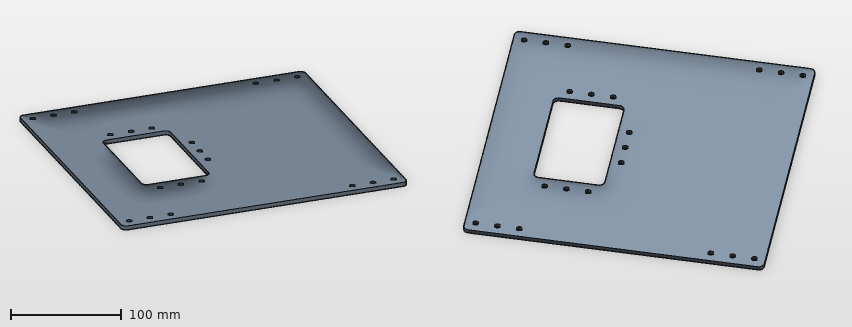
import cadquery as cq

plate_width = 262.0
plate_depth = 275.75
plate_thickness = 4.0
plate_corner_radius = 5.0

window_width = 105.0
window_depth = 65.0
window_front_margin = 50.0
window_corner_radius = 5.0
window_center_y = -plate_depth / 2 + window_front_margin + window_depth / 2

hole_diameter = 5.0
hole_pitch = 20.0
hole_edge_distance = 10.0
row_offsets = (-hole_pitch, 0.0, hole_pitch)


def rounded_slab(width, depth, corner_radius):
    """Slab of plate thickness with rounded vertical corners."""
    slab = cq.Workplane("XY").box(width, depth, plate_thickness, centered=(True, True, False))
    return slab.edges("|Z").fillet(corner_radius)


def row_along_x(center_x, center_y):
    """Hole centres of a row running in X."""
    return [(center_x + offset, center_y) for offset in row_offsets]


def row_along_y(center_x, center_y):
    """Hole centres of a row running in Y."""
    return [(center_x, center_y + offset) for offset in row_offsets]


def plate_corner_holes():
    """One row along each side edge at every plate corner."""
    row_x = plate_width / 2 - hole_edge_distance
    row_y = plate_depth / 2 - hole_edge_distance - hole_pitch
    centers = []
    for side_x in (-1, 1):
        for side_y in (-1, 1):
            centers += row_along_y(side_x * row_x, side_y * row_y)
    return centers


def window_holes():
    """Rows beside the left, right and rear edges of the window."""
    side_row_x = window_width / 2 + hole_edge_distance
    rear_row_y = window_center_y + window_depth / 2 + hole_edge_distance
    centers = row_along_x(0.0, rear_row_y)
    for side_x in (-1, 1):
        centers += row_along_y(side_x * side_row_x, window_center_y)
    return centers


plate = rounded_slab(plate_width, plate_depth, plate_corner_radius)
window = rounded_slab(window_width, window_depth, window_corner_radius).translate((0, window_center_y, 0))
holes = (
    cq.Workplane("XY")
    .pushPoints(plate_corner_holes() + window_holes())
    .circle(hole_diameter / 2)
    .extrude(plate_thickness)
)

result = plate.cut(window).cut(holes)